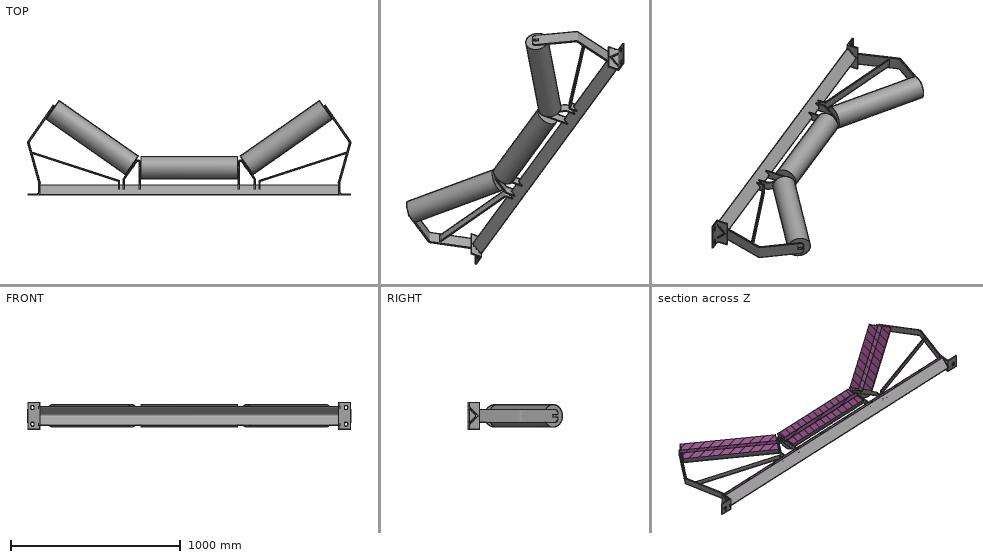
import cadquery as cq
import math

FRAME_LENGTH = 1904.0

BEAM_LEG = 80.0
BEAM_THICKNESS = 8.0
BEAM_ROOT_RADIUS = 11.0
BEAM_TOE_RADIUS = 4.0

PLATE_SPAN = 1900.0
PLATE_HEIGHT = 160.0
PLATE_FOOT = 70.0
PLATE_LEG = 69.0
PLATE_THICKNESS = 8.0
PLATE_BEND_RADIUS = 11.0
MOUNT_SLOT_WIDTH = 17.0
MOUNT_SLOT_LENGTH = 25.0
MOUNT_SLOT_PITCH = 97.0
MOUNT_SLOT_EDGE = 27.0

ROLLER_LENGTH = 570.0
ROLLER_DIAMETER = 133.0
CENTRE_ROLLER_Y = 162.0
WING_ROLLER_X = 571.0
WING_ROLLER_Y = 339.0
WING_ANGLE = 35.0

SHAFT_DIAMETER = 20.0
SHAFT_FLAT_WIDTH = 15.0

ARM_THICKNESS = 10.0
STRIP_THICKNESS = 8.0
CENTRE_GAP = 4.0
WING_GAP = 4.0
ARM_WIDTH = 76.0
ARM_TIP = 25.0
ARM_TIP_CHAMFER = 13.0
ARM_LEAN = 15.6
ARM_BEND_RADIUS = 19.0
STRIP_WIDTH = 50.0
BRACKET_TOP_Y = 205.0
BRACKET_POST_X = 390.0
STRUT_POST_X = 410.0
STRUT_BEND_Y = 85.0
STRUT_TOP_X = 930.0
STRUT_TOP_Y = 255.0
STRIP_BEND_RADIUS = 10.0

BEAM_HEEL_Y = (BEAM_LEG + BEAM_THICKNESS - 2 * BEAM_TOE_RADIUS) / math.sqrt(2) + BEAM_TOE_RADIUS
ROLLER_HALF = ROLLER_LENGTH / 2
CENTRE_SHAFT_HALF = ROLLER_HALF + CENTRE_GAP + STRIP_THICKNESS
WING_SHAFT_HALF = ROLLER_HALF + WING_GAP + ARM_THICKNESS
PLATE_EDGE_X = PLATE_SPAN / 2
PLATE_INNER_X = PLATE_EDGE_X - PLATE_FOOT
PLATE_OUTER_X = PLATE_INNER_X + PLATE_THICKNESS
COS_WING = math.cos(math.radians(WING_ANGLE))
SIN_WING = math.sin(math.radians(WING_ANGLE))
TAN_LEAN = math.tan(math.radians(ARM_LEAN))



def wing_point(along, across):
    """X and Y of a point given along the right wing roller's axis and upward across it."""
    return (WING_ROLLER_X + along * COS_WING - across * SIN_WING,
            WING_ROLLER_Y + along * SIN_WING + across * COS_WING)


def to_wing(body):
    """Move a body built around the origin along X into the right wing roller's place."""
    return body.rotate((0, 0, 0), (0, 0, 1), WING_ANGLE).translate((WING_ROLLER_X, WING_ROLLER_Y, 0))


def mirrored(body):
    return body.mirror("YZ")


def plate_from(outline, width):
    """Extrude a closed XY outline, centred on Z = 0."""
    return cq.Workplane("XY", origin=(0, 0, -width / 2)).polyline(outline).close().extrude(width)


def edge_at(x, y):
    """Select the Z-direction edge that passes through one XY point."""
    return cq.selectors.NearestToPointSelector((x, y, 0))


def bent_strip(points, width, thickness, outer_radius):
    """Flat strip to the right of a line of points, with every bend rounded on both faces."""
    normals = []
    for (x0, y0), (x1, y1) in zip(points, points[1:]):
        length = math.hypot(x1 - x0, y1 - y0)
        normals.append(((y1 - y0) / length, (x0 - x1) / length))

    offset = []
    for (x, y), a, b in zip(points, normals[:1] + normals, normals + normals[-1:]):
        scale = thickness / (1 + a[0] * b[0] + a[1] * b[1])
        offset.append((x + scale * (a[0] + b[0]), y + scale * (a[1] + b[1])))

    strip = plate_from(points + offset[::-1], width)
    for (near, far), a, b in zip(list(zip(points, offset))[1:-1], normals, normals[1:]):
        turns_right = a[0] * b[1] - a[1] * b[0] < 0
        outer, inner = (near, far) if turns_right else (far, near)
        strip = strip.edges(edge_at(*outer)).fillet(outer_radius)
        strip = strip.edges(edge_at(*inner)).fillet(outer_radius - thickness)
    return strip


def shaft_slot(middle_x, height):
    """Cutter for an open-topped slot, from under a shaft on the X axis up to a height above it."""
    depth = height + SHAFT_DIAMETER / 2
    reach = 2 * STRIP_THICKNESS
    return (cq.Workplane("XY").box(reach, depth, SHAFT_FLAT_WIDTH)
            .translate((middle_x, (height - SHAFT_DIAMETER / 2) / 2, 0)))



def make_roller():
    return (cq.Workplane("YZ", origin=(-ROLLER_HALF, 0, 0))
            .circle(ROLLER_DIAMETER / 2).circle(SHAFT_DIAMETER / 2).extrude(ROLLER_LENGTH))


def make_shaft(half_length):
    """Round shaft with two flats on each end that stands out of the roller."""
    shaft = (cq.Workplane("YZ", origin=(-half_length, 0, 0))
             .circle(SHAFT_DIAMETER / 2).extrude(2 * half_length))
    end = half_length - ROLLER_HALF
    for side in (-1, 1):
        for face in (-1, 1):
            flat = (cq.Workplane("XY").box(end, SHAFT_DIAMETER, SHAFT_DIAMETER)
                    .translate((side * (half_length - end / 2), 0,
                                face * (SHAFT_FLAT_WIDTH + SHAFT_DIAMETER) / 2)))
            shaft = shaft.cut(flat)
    return shaft



def make_beam():
    """Angle section through both end plates, flush with their outer faces."""
    leg, thickness = BEAM_LEG, BEAM_THICKNESS
    section = [(0, 0), (leg, 0), (leg, thickness), (thickness, thickness), (thickness, leg), (0, leg)]
    beam = plate_from(section, 2 * PLATE_OUTER_X)
    beam = beam.edges(edge_at(thickness, thickness)).fillet(BEAM_ROOT_RADIUS)
    for toe in ((leg, thickness), (thickness, leg)):
        beam = beam.edges(edge_at(*toe)).fillet(BEAM_TOE_RADIUS)
    return (beam.rotate((0, 0, 0), (0, 0, 1), -135)
            .rotate((0, 0, 0), (0, 1, 0), 90).translate((0, BEAM_HEEL_Y, 0)))


def make_arm():
    """Outer strip from the end plate up to the outer end of the right wing shaft."""
    half_turn = math.radians(WING_ANGLE + ARM_LEAN) / 2
    bisector = math.radians(WING_ANGLE - ARM_LEAN) / 2
    corner_x = FRAME_LENGTH / 2 + ARM_BEND_RADIUS * (math.cos(bisector) / math.cos(half_turn) - 1)
    axis_x, axis_y = wing_point(WING_SHAFT_HALF, 0)
    corner_y = axis_y - (corner_x - axis_x) * COS_WING / SIN_WING
    foot_x = corner_x - (corner_y - PLATE_LEG) * TAN_LEAN
    tip = wing_point(WING_SHAFT_HALF, ARM_TIP)
    arm = bent_strip([tip, (corner_x, corner_y), (foot_x, PLATE_LEG)],
                     ARM_WIDTH, ARM_THICKNESS, ARM_BEND_RADIUS)

    middle = WING_SHAFT_HALF - ARM_THICKNESS / 2
    tip_middle = wing_point(middle, ARM_TIP)
    for side in (-1, 1):
        corner = cq.selectors.NearestToPointSelector((*tip_middle, side * ARM_WIDTH / 2))
        arm = arm.edges(corner).chamfer(ARM_TIP_CHAMFER)
    return arm.cut(to_wing(shaft_slot(middle, ARM_TIP)))


def make_bracket():
    """Folded strip between the centre roller and the right wing roller, standing on the beam."""
    post_x = CENTRE_SHAFT_HALF - STRIP_THICKNESS
    face = -(ROLLER_HALF + WING_GAP)
    face_x, face_y = wing_point(face, 0)
    fold_x = face_x - (BRACKET_TOP_Y - face_y) * SIN_WING / COS_WING
    knee_y = face_y - (BRACKET_POST_X - face_x) * COS_WING / SIN_WING
    bracket = bent_strip([(post_x, 0), (post_x, BRACKET_TOP_Y), (fold_x, BRACKET_TOP_Y),
                          (BRACKET_POST_X, knee_y), (BRACKET_POST_X, 0)],
                         STRIP_WIDTH, STRIP_THICKNESS, STRIP_BEND_RADIUS)

    post_slot = shaft_slot(post_x + STRIP_THICKNESS / 2, BRACKET_TOP_Y - CENTRE_ROLLER_Y)
    bracket = bracket.cut(post_slot.translate((0, CENTRE_ROLLER_Y, 0)))
    return bracket.cut(to_wing(shaft_slot(face - STRIP_THICKNESS / 2, BRACKET_TOP_Y - face_y)))


def make_strut():
    """Strip that rises from the beam to the arm."""
    return bent_strip([(STRUT_POST_X, 0), (STRUT_POST_X, STRUT_BEND_Y), (STRUT_TOP_X, STRUT_TOP_Y)],
                      STRIP_WIDTH, STRIP_THICKNESS, STRIP_BEND_RADIUS)


def make_frame():
    """Beam with arms, brackets and struts, each post notched to sit over the beam's heel."""
    heel_wedge = (cq.Workplane("YZ", origin=(-PLATE_INNER_X, 0, 0))
                  .polyline([(BEAM_HEEL_Y, 0), (0, -BEAM_HEEL_Y), (0, BEAM_HEEL_Y)])
                  .close().extrude(2 * PLATE_INNER_X))
    bracket = make_bracket().cut(heel_wedge)
    strut = make_strut().cut(heel_wedge)
    frame = make_beam()
    for strip in (bracket, strut, make_arm()):
        frame = frame.union(strip).union(mirrored(strip))
    return frame



def make_end_plate(frame):
    """Right end plate: foot outward, leg pierced by the beam."""
    edge, inner, outer = PLATE_EDGE_X, PLATE_INNER_X, PLATE_OUTER_X
    plate = plate_from([(edge, 0), (inner, 0), (inner, PLATE_LEG), (outer, PLATE_LEG),
                        (outer, PLATE_THICKNESS), (edge, PLATE_THICKNESS)], PLATE_HEIGHT)
    plate = plate.edges(edge_at(outer, PLATE_THICKNESS)).fillet(PLATE_BEND_RADIUS)

    slot_x = edge - MOUNT_SLOT_EDGE
    slots = (cq.Workplane("XZ")
             .pushPoints([(slot_x, -MOUNT_SLOT_PITCH / 2), (slot_x, MOUNT_SLOT_PITCH / 2)])
             .slot2D(MOUNT_SLOT_LENGTH, MOUNT_SLOT_WIDTH, 90).extrude(-PLATE_THICKNESS))
    return plate.cut(slots).cut(frame)



frame = make_frame()
end_plate = make_end_plate(frame)
wing_roller = to_wing(make_roller())
wing_shaft = to_wing(make_shaft(WING_SHAFT_HALF))
centre_roller = make_roller().translate((0, CENTRE_ROLLER_Y, 0))
centre_shaft = make_shaft(CENTRE_SHAFT_HALF).translate((0, CENTRE_ROLLER_Y, 0))

bodies = [body.solids().val() for body in (frame, centre_roller, centre_shaft)]
for right_body in (end_plate, wing_roller, wing_shaft):
    bodies += [body.solids().val() for body in (right_body, mirrored(right_body))]

result = cq.Compound.makeCompound(bodies)